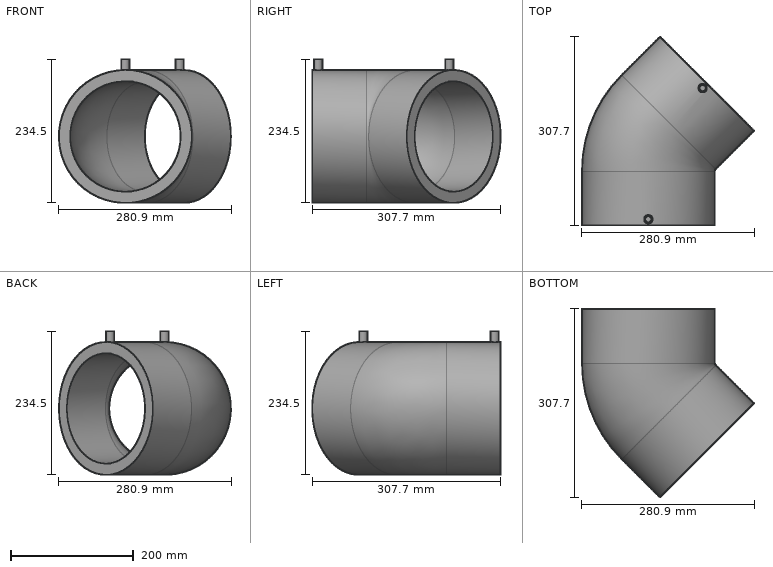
import cadquery as cq
import math

outer_diameter = 217.0
bore_diameter = 180.0
bend_angle = 45.0
bend_radius = 113.0
socket_length = 88.5

terminal_diameter = 14.0
terminal_bore = 10.0
terminal_height = 17.5
terminal_setback = 10.0

outer_radius = outer_diameter / 2
terminal_top = outer_radius + terminal_height

bend_rad = math.radians(bend_angle)
bend_center = (bend_radius, socket_length)
exit_direction = (math.sin(bend_rad), math.cos(bend_rad))
bend_end = (
    bend_center[0] - bend_radius * math.cos(bend_rad),
    bend_center[1] + bend_radius * math.sin(bend_rad),
)


def along_exit(distance):
    """Point on the exit centreline at a distance past the end of the bend."""
    return (
        bend_end[0] + distance * exit_direction[0],
        bend_end[1] + distance * exit_direction[1],
    )


def straight_rod(diameter, start, direction):
    """Solid cylinder of one socket length, lying in the XY plane."""
    return cq.Workplane(
        cq.Solid.makeCylinder(
            diameter / 2,
            socket_length,
            cq.Vector(start[0], start[1], 0),
            cq.Vector(direction[0], direction[1], 0),
        )
    )


def bent_rod(diameter):
    """Solid bar following the whole elbow centreline."""
    entry = straight_rod(diameter, (0, 0), (0, 1))
    bend = (
        cq.Workplane("XZ", origin=(0, socket_length, 0))
        .circle(diameter / 2)
        .revolve(bend_angle, (bend_radius, 1, 0), (bend_radius, 0, 0))
    )
    outlet = straight_rod(diameter, bend_end, exit_direction)
    return entry.union(bend).union(outlet)


def terminal(position):
    """Upright tube whose lower end is buried in the pipe wall."""
    return (
        cq.Workplane("XY")
        .center(*position)
        .circle(terminal_diameter / 2)
        .circle(terminal_bore / 2)
        .extrude(terminal_top)
    )


terminal_positions = [
    (0, terminal_setback),
    along_exit(socket_length - terminal_setback),
]

result = bent_rod(outer_diameter)
for position in terminal_positions:
    result = result.union(terminal(position))
result = result.cut(bent_rod(bore_diameter))